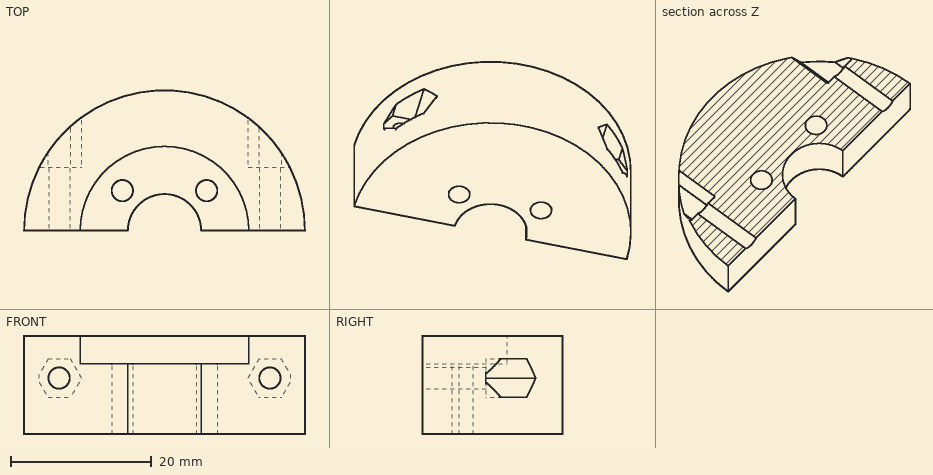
import cadquery as cq
import math

outer_radius = 20.0
height = 14.0
bore_radius = 5.2
recess_radius = 12.0
recess_depth = 4.0

floor_hole_diameter = 3.0
floor_hole_x = 6.0
floor_hole_y = 5.7

screw_diameter = 3.0
screw_x = 15.0
screw_z = 8.0
nut_sides = 6
nut_across_flats = 5.5
nut_across_corners = nut_across_flats / math.cos(math.pi / nut_sides)
nut_seat_y = 9.0


def half_disc(radius, thickness, base_z):
    """Half cylinder on the +Y side of the Z axis."""
    return (
        cq.Workplane("XY", origin=(0, 0, base_z))
        .moveTo(-radius, 0)
        .threePointArc((0, radius), (radius, 0))
        .close()
        .extrude(thickness)
    )


def make_body():
    """Half ring with a stepped recess in its top face."""
    recess = half_disc(recess_radius, recess_depth, height - recess_depth)
    bore = cq.Workplane("XY").circle(bore_radius).extrude(height)
    return half_disc(outer_radius, height, 0).cut(recess).cut(bore)


def make_floor_hole(x):
    """Vertical through hole."""
    return (
        cq.Workplane("XY")
        .center(x, floor_hole_y)
        .circle(floor_hole_diameter / 2)
        .extrude(height)
    )


def make_screw_cutter(x):
    """Screw hole along +Y that widens into a nut pocket with flats up and down."""
    hole = (
        cq.Workplane("XZ", origin=(x, 0, screw_z))
        .circle(screw_diameter / 2)
        .extrude(-outer_radius)
    )
    pocket = (
        cq.Workplane("XZ", origin=(x, nut_seat_y, screw_z))
        .polygon(nut_sides, nut_across_corners)
        .extrude(-(outer_radius - nut_seat_y))
    )
    return hole.union(pocket)


result = make_body()
for side in (-1, 1):
    result = result.cut(make_floor_hole(side * floor_hole_x))
    result = result.cut(make_screw_cutter(side * screw_x))